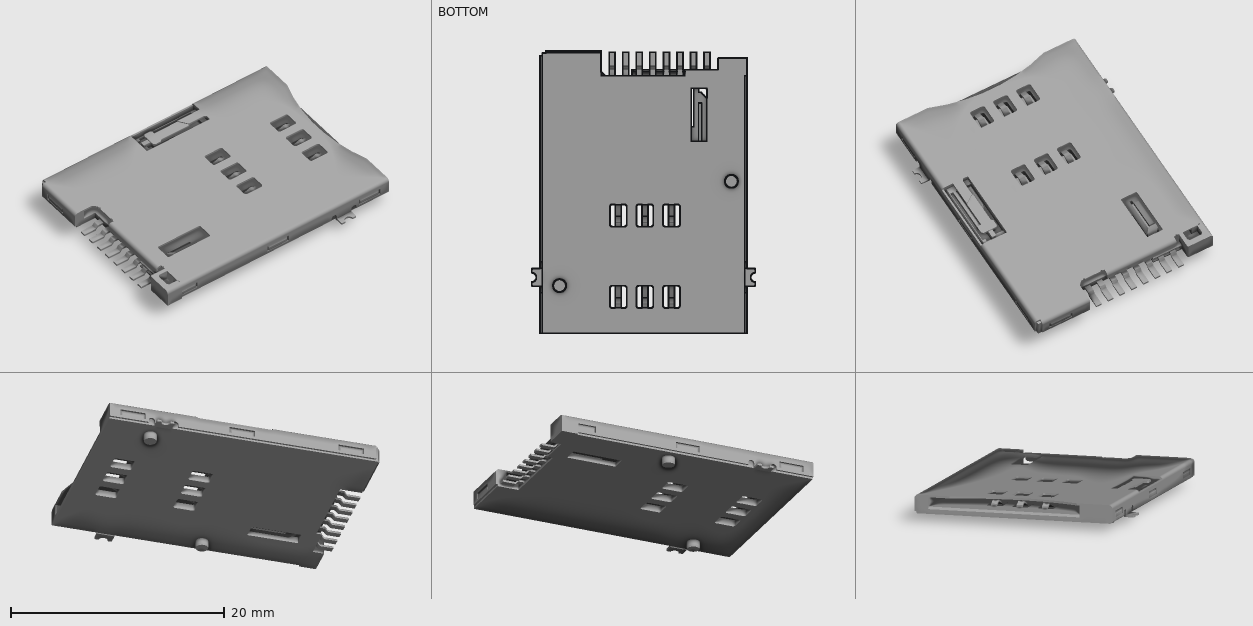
import cadquery as cq


total_length = 26.5
cover_width = 19.42
top_z = 1.78
sheet = 0.2
bend_radius = 0.35
skirt_bottom_z = 0.19
floor_z = 0.65

rear_y = total_length / 2
front_y = -rear_y
half_width = cover_width / 2
plate_z = top_z - sheet
inner_half_width = half_width - sheet

side_end_y = -12.8
cover_edge_y = -10.92
front_skirt_x = (-9.15, -3.98)
flange_x = (-1.09, 6.4)
flange_y = -11.47
flange_bottom_z = 0.93
flange_corner = 0.19
recess_corner = 0.37
relief_radius = 0.1
relief_x = (-3.29, -1.38, 6.7, 9.17)
joint_overlap = 0.26

finger_width = 12.5
finger_depth = 1.15

contact_x = (-2.35, 0.13, 2.62)
contact_row_y = (9.83, 2.2)
contact_width = 0.58
contact_crest_z = 1.17
contact_crest_drop = 0.1
contact_crest_y = (0.08, 0.35, 0.64)
contact_window = (1.56, 2.07)
window_corner = 0.2
terminal_count = 8
terminal_pitch = 1.27
terminal_width = 0.58
terminal_end_y = -13.12
terminal_bend_y = (-11.55, -11.82)
terminal_rounding = 0.1
terminal_root_depth = 1.05
terminal_lead_z = 0.2
first_terminal_x = -2.95

lead_in = 0.2
base_front_y = front_y + sheet
front_wall_y = -12.2
left_wall_x = -6.5
right_wall_x = 8.37
terminal_pocket_x = (3.87, 6.78)
terminal_pocket_z = (0.15, 0.5)
terminal_pocket_depth = 0.8

block_x = 6.97
block_front_y = -12.6
block_pocket_x = (7.37, 8.95)
block_pocket_y = -12.0
block_pocket_floor_z = 0.8
block_pocket_chamfer = 0.15
block_corner = 0.15

snap_length = 2.46
snap_z = (0.45, 1.09)
snap_y = (11.0, 0.32, -10.34)
snap_front_x = -7.13
snap_end_slope = 0.2
snap_inset = 0.04

tab_reach = 20.95 / 2
tab_y = (7.15, 8.85)
tab_notch_radius = 0.42
tab_corner = 0.1
tab_z = -0.1
tab_relief_width = 0.6
tab_relief_top_z = 0.7

post_places = ((-7.87, 8.77), (8.25, -1.0))
post_diameter = 1.25
post_bottom_z = -0.72
post_lead_height = 0.2
post_lead_inset = 0.04

latch_x = (-inner_half_width, -6.9)
latch_y = (-2.68, 4.66)
latch_pit_x = (-9.15, -6.9)
latch_pit_y = (-2.01, 4.08)
latch_floor_z = 0.93
latch_groove_z = 0.53
latch_notch_x = (-8.85, -7.85)
latch_notch_y = latch_pit_y[0] - 0.32
latch_ledge_z = 1.27
latch_groove_end_x = -9.2
tongue_x = (-8.5, -7.55)
tongue_step_y = (2.05, 2.7)
tongue_flare = (0.15, 0.25)
pad_x = (-8.95, -7.25)
pad_y = (-1.6, -0.64)
pad_chamfer = 0.15
rib_x = (-8.82, -8.53)
slider_x = (-8.35, -7.08)
slider_neck_x = -7.45
slider_neck_y = (0.72, 1.45)
slider_front_y = -1.45
slider_chamfer = 0.3
stem_x = (-8.3, -7.85)

switch_x = (4.21, 5.94)
switch_y = (-9.73, -4.77)
switch_hole_x = 4.48
leaf_z = (floor_z - sheet, floor_z)
moving_leaf_x = (4.7, 5.2)
fixed_leaf_x = 5.43
leaf_slit_y = -6.15
fixed_pad_y = (-8.05, -5.15)
hook_y = (-9.38, -8.35)
hook_slant = 0.58
hook_top_z = 1.03
hook_arc_middle = (-9.0, 0.9)


def block(x, y, z):
    """Axis-aligned box from (low, high) pairs."""
    return (
        cq.Workplane("XY")
        .box(x[1] - x[0], y[1] - y[0], z[1] - z[0], centered=False)
        .translate((x[0], y[0], z[0]))
    )


def plate(points, z):
    """Straight-sided XY outline raised between two heights."""
    return cq.Workplane("XY", origin=(0, 0, z[0])).polyline(points).close().extrude(z[1] - z[0])


def strip(points, x):
    """Straight-sided YZ outline swept between two X places."""
    return cq.Workplane("YZ", origin=(x[0], 0, 0)).polyline(points).close().extrude(x[1] - x[0])


def folded_lip(x, back_y, lip_y, bottom_z):
    """Flat sheet from back_y, folded down at lip_y to bottom_z."""
    outer = block(x, (lip_y, back_y), (bottom_z, top_z)).edges("|X and >Z and <Y").fillet(bend_radius)
    inner = block(x, (lip_y + sheet, back_y), (bottom_z, plate_z))
    return outer.cut(inner.edges("|X and >Z and <Y").fillet(bend_radius - sheet))


def cover_shell():
    """Top sheet with both side skirts, the front skirt and the short front flange."""
    length = (side_end_y, rear_y)
    outer = block((-half_width, half_width), length, (skirt_bottom_z, top_z))
    outer = outer.edges("|Y and >Z").fillet(bend_radius)
    inner = block((-inner_half_width, inner_half_width), length, (skirt_bottom_z, plate_z))
    inner = inner.edges("|Y and >Z").fillet(bend_radius - sheet)
    shell = outer.cut(inner)

    left = front_skirt_x[1]
    recess = [
        (left, front_y),
        (left, cover_edge_y - recess_corner),
        (left + recess_corner, cover_edge_y),
        (half_width, cover_edge_y),
        (half_width, front_y),
    ]
    shell = shell.cut(plate(recess, (0, top_z)))
    shell = shell.union(folded_lip(front_skirt_x, side_end_y + joint_overlap, front_y, skirt_bottom_z))
    flange = folded_lip(flange_x, cover_edge_y + joint_overlap, flange_y, flange_bottom_z)
    flange = flange.edges("|Y and <Z").chamfer(flange_corner)
    shell = shell.union(flange)

    for x in relief_x:
        shell = shell.cut(
            cq.Workplane("XY", origin=(x, cover_edge_y, plate_z)).circle(relief_radius).extrude(sheet)
        )
    finger = (
        cq.Workplane("XY", origin=(0, rear_y, plate_z))
        .moveTo(-finger_width / 2, 0)
        .threePointArc((0, -finger_depth), (finger_width / 2, 0))
        .close()
        .extrude(sheet)
    )
    return shell.cut(finger)


def base_body():
    """Floor with side walls, the front wall and the front right corner block."""
    inner = inner_half_width
    left = front_skirt_x[1]
    floor_outline = [
        (-inner, rear_y),
        (-inner, base_front_y),
        (left, base_front_y),
        (left, cover_edge_y),
        (terminal_pocket_x[0], cover_edge_y),
        (terminal_pocket_x[0], flange_y),
        (inner, flange_y),
        (inner, rear_y),
    ]
    body = plate(floor_outline, (0, floor_z)).edges(">Y and >Z").chamfer(lead_in)
    body = body.union(block((-inner, left_wall_x), (base_front_y, rear_y), (0, plate_z)))
    body = body.union(block((-inner, left), (base_front_y, front_wall_y), (0, plate_z)))
    body = body.union(block((right_wall_x, inner), (flange_y, rear_y), (0, plate_z)))
    body = body.edges("|Z and <X and <Y").fillet(relief_radius)

    corner = block((block_x, half_width), (block_front_y, cover_edge_y), (0, top_z))
    corner = corner.edges("|Y and >X and >Z").fillet(bend_radius)
    corner = corner.edges("|Z and <X and <Y").fillet(block_corner)
    pocket = block(block_pocket_x, (block_pocket_y, cover_edge_y), (block_pocket_floor_z, top_z))
    pocket = pocket.edges("|Z and <Y").chamfer(block_pocket_chamfer)

    slot = block(terminal_pocket_x, (flange_y, flange_y + terminal_pocket_depth), terminal_pocket_z)
    return body.union(corner).cut(pocket).cut(slot)


def snap_window():
    """Opening through a skirt that faces -Y, centred on x = 0."""
    return block((-snap_length / 2, snap_length / 2), (0, sheet), snap_z)


def snap_wedge():
    """Ramped catch set just inside a snap window, centred on x = 0."""
    middle_z = sum(snap_z) / 2
    half = snap_length / 2
    root = [(sheet, snap_z[0]), (snap_inset, snap_z[0]), (snap_inset, middle_z), (sheet, snap_z[1])]
    wedge = strip(root, (-half, half))
    flat = half - snap_end_slope
    ends = [(-half, sheet), (-flat, snap_inset), (flat, snap_inset), (half, sheet)]
    return wedge.intersect(plate(ends, snap_z))


def at_snaps(shape):
    """Copies of a snap shape on the left, right and front skirts."""
    placed = [shape.translate((snap_front_x, front_y, 0))]
    for y in snap_y:
        left = shape.rotate((0, 0, 0), (0, 0, 1), -90).translate((-half_width, y, 0))
        placed += [left, left.mirror("YZ")]
    return placed


def solder_tab():
    """Left tab folded outward from the skirt, with a round solder notch."""
    tab = block((-tab_reach, -inner_half_width), tab_y, (tab_z, tab_z + sheet))
    tab = tab.edges("|Z and <X").fillet(tab_corner)
    notch = cq.Workplane("XY", origin=(-tab_reach, sum(tab_y) / 2, tab_z))
    tab = tab.cut(notch.circle(tab_notch_radius).extrude(sheet))
    root = block((-half_width, -inner_half_width), tab_y, (tab_z, skirt_bottom_z))
    return tab.union(root)


def tab_reliefs():
    """Round-topped slots through the left skirt on both sides of the tab."""
    radius = tab_relief_width / 2
    centre_z = tab_relief_top_z - radius
    slots = cq.Workplane("XY")
    for y in (tab_y[0] - radius, tab_y[1] + radius):
        cap = cq.Workplane("YZ", origin=(-half_width, y, centre_z)).circle(radius).extrude(sheet)
        leg = block((-half_width, -inner_half_width), (y - radius, y + radius), (0, centre_z))
        slots = slots.add(cap.union(leg))
    return slots.combine()


def contact_openings():
    """Rounded windows through cover and base above and below the contacts."""
    places = [(x, y) for x in contact_x for y in contact_row_y]
    return (
        cq.Workplane("XY")
        .pushPoints(places)
        .rect(*contact_window)
        .extrude(top_z)
        .edges("|Z")
        .fillet(window_corner)
    )


def contact(x, y):
    """Spring finger rising from the front edge of its window to a rounded crest."""
    half = contact_window[1] / 2
    anchor_y = -half - joint_overlap
    start_y, peak_y, end_y = contact_crest_y
    top = contact_crest_z
    shoulder = top - contact_crest_drop
    return (
        cq.Workplane("YZ", origin=(x - contact_width / 2, y, 0))
        .moveTo(anchor_y, floor_z - sheet)
        .lineTo(-half, floor_z - sheet)
        .lineTo(start_y, shoulder - sheet)
        .threePointArc((peak_y, top - sheet), (end_y, shoulder - sheet))
        .lineTo(half, floor_z)
        .lineTo(half, floor_z + sheet)
        .lineTo(end_y, shoulder)
        .threePointArc((peak_y, top), (start_y, shoulder))
        .lineTo(-half, floor_z)
        .lineTo(anchor_y, floor_z)
        .close()
        .extrude(contact_width)
    )


def terminal(x):
    """Gull-wing lead with its foot at board level."""
    bend_start_y, bend_end_y = terminal_bend_y
    root_y = cover_edge_y + terminal_root_depth
    lead_z = terminal_lead_z
    half = terminal_width / 2
    side = [
        (root_y, lead_z),
        (bend_start_y, lead_z),
        (bend_end_y, tab_z),
        (terminal_end_y, tab_z),
        (terminal_end_y, tab_z + sheet),
        (bend_end_y, tab_z + sheet),
        (bend_start_y, lead_z + sheet),
        (root_y, lead_z + sheet),
    ]
    lead = strip(side, (x - half, x + half))
    at_bends = cq.selectors.BoxSelector(
        (x - half, bend_end_y - terminal_rounding, post_bottom_z),
        (x + half, bend_start_y + terminal_rounding, top_z),
    )
    return lead.edges("|X").edges(at_bends).fillet(terminal_rounding)


def post(x, y):
    """Locating post under the base."""
    pin = cq.Workplane("XY", origin=(x, y, post_bottom_z)).circle(post_diameter / 2)
    return pin.extrude(-post_bottom_z).faces("<Z").chamfer(post_lead_height, post_lead_inset)


def latch_opening():
    """Cover window and stepped guide channel for the latch."""
    window = block(latch_x, latch_y, (latch_ledge_z, top_z))
    bend = block((-half_width, latch_x[0]), latch_y, (top_z - bend_radius + sheet / 2, top_z))
    channel = block(latch_pit_x, latch_pit_y, (latch_floor_z, top_z))
    exit_notch = block(latch_notch_x, (latch_notch_y, latch_pit_y[0]), (latch_floor_z, top_z))
    groove = (
        cq.Workplane("XZ", origin=(0, latch_y[1], 0))
        .moveTo(latch_x[0], latch_groove_z)
        .lineTo(latch_x[0], latch_ledge_z)
        .lineTo(latch_groove_end_x, latch_ledge_z)
        .close()
        .extrude(latch_y[1] - latch_y[0])
    )
    return window.union(bend).union(channel).union(exit_notch).union(groove)


def latch_parts():
    """Cover tongue with a stepped end, standing over a guide rib and the slider."""
    tongue_back_y = latch_y[1] + joint_overlap
    flare_x = tongue_x[1] + tongue_flare[0]
    tongue_outline = [
        (tongue_x[0], tongue_back_y),
        (tongue_x[0], tongue_step_y[0]),
        (tongue_x[1], tongue_step_y[1]),
        (tongue_x[1], latch_y[1] - tongue_flare[1]),
        (flare_x, latch_y[1]),
        (flare_x, tongue_back_y),
    ]
    tongue = plate(tongue_outline, (plate_z, top_z))

    end_z = (plate_z - sheet / 2, top_z - sheet / 2)
    neck_outline = [
        (tongue_x[0], tongue_step_y[0]),
        (tongue_x[0], pad_y[0]),
        (slider_neck_x, pad_y[0]),
        (slider_neck_x, tongue_step_y[1]),
        (tongue_x[1], tongue_step_y[1]),
    ]
    pad = block(pad_x, pad_y, end_z).edges("|Z").chamfer(pad_chamfer)
    pad = pad.union(plate(neck_outline, end_z))

    rib = block(rib_x, (pad_y[1], latch_pit_y[1]), (latch_floor_z, latch_ledge_z))
    slider_outline = [
        (slider_x[0], latch_pit_y[1]),
        (slider_x[1], latch_pit_y[1]),
        (slider_x[1], slider_neck_y[1]),
        (slider_neck_x, slider_neck_y[0]),
        (slider_neck_x, slider_front_y),
        (slider_x[0], slider_front_y),
    ]
    slider = plate(slider_outline, (latch_floor_z, latch_ledge_z))
    slider = slider.edges(">Y and >Z").chamfer(slider_chamfer)
    stem = block(stem_x, (latch_notch_y, slider_front_y), (latch_floor_z, plate_z))
    return tongue.union(pad).union(rib).union(slider).union(stem)


def switch_opening():
    """Window through the cover, and through the floor beside the left rim."""
    window = block(switch_x, switch_y, (floor_z, top_z)).edges("|Z").fillet(relief_radius)
    hole = block((switch_hole_x, switch_x[1]), switch_y, (0, floor_z))
    return window.union(hole)


def switch_leaves():
    """Moving leaf with a hooked tip, next to the fixed leaf."""
    back_y = switch_y[1] + joint_overlap
    left, right = moving_leaf_x
    wall_x = switch_x[1]
    moving = block(moving_leaf_x, (switch_y[0] - joint_overlap, back_y), leaf_z)
    root = block((switch_hole_x - joint_overlap, left), (leaf_slit_y, back_y), leaf_z)
    fixed = block((fixed_leaf_x, wall_x + joint_overlap), (hook_y[1], back_y), leaf_z)
    raised = block((fixed_leaf_x, wall_x), fixed_pad_y, (leaf_z[1], leaf_z[1] + sheet / 2))
    hook_outline = [
        (left, hook_y[0]),
        (left, hook_y[1] - hook_slant),
        (right, hook_y[1]),
        (wall_x, hook_y[1]),
        (wall_x, hook_y[0] + hook_slant),
        (wall_x - hook_slant, hook_y[0]),
    ]
    curve = (
        cq.Workplane("YZ", origin=(left, 0, 0))
        .moveTo(hook_y[1], leaf_z[0])
        .lineTo(hook_y[1], hook_top_z)
        .threePointArc(hook_arc_middle, (hook_y[0], leaf_z[1]))
        .lineTo(hook_y[0], leaf_z[0])
        .close()
        .extrude(wall_x - left)
    )
    hook = plate(hook_outline, (leaf_z[0], hook_top_z)).intersect(curve)
    return moving.union(root).union(fixed).union(raised).union(hook)


cover = cover_shell()
for opening in at_snaps(snap_window()):
    cover = cover.cut(opening)
reliefs = tab_reliefs()
cover = cover.cut(reliefs).cut(reliefs.mirror("YZ"))

result = base_body().union(cover)
result = result.cut(contact_openings()).cut(latch_opening()).cut(switch_opening())

left_tab = solder_tab()
small_parts = at_snaps(snap_wedge()) + [left_tab, left_tab.mirror("YZ"), latch_parts(), switch_leaves()]
small_parts += [contact(x, y) for x in contact_x for y in contact_row_y]
small_parts += [terminal(first_terminal_x + i * terminal_pitch) for i in range(terminal_count)]
small_parts += [post(x, y) for x, y in post_places]
for part in small_parts:
    result = result.union(part)